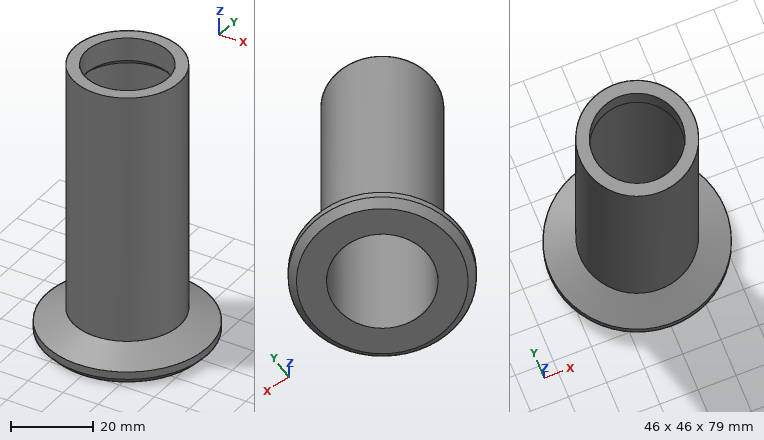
import cadquery as cq

total_height = 79.0
tube_diameter = 30.0
bore_diameter = 27.2
neck_diameter = 23.3
neck_length = 6.55
flange_diameter = 46.0
base_diameter = 41.9
bevel_height = 2.1
rim_top = 4.3
cone_top = 8.0

neck_bottom = total_height - neck_length
taper_height = (bore_diameter - neck_diameter) / 2
taper_bottom = neck_bottom - taper_height

half_section = [
    (bore_diameter / 2, 0),
    (base_diameter / 2, 0),
    (flange_diameter / 2, bevel_height),
    (flange_diameter / 2, rim_top),
    (tube_diameter / 2, cone_top),
    (tube_diameter / 2, total_height),
    (neck_diameter / 2, total_height),
    (neck_diameter / 2, neck_bottom),
    (bore_diameter / 2, taper_bottom),
]

result = (
    cq.Workplane("XZ")
    .polyline(half_section)
    .close()
    .revolve(360, (0, 0, 0), (0, 1, 0))
    .translate((0, 0, -total_height / 2))
)